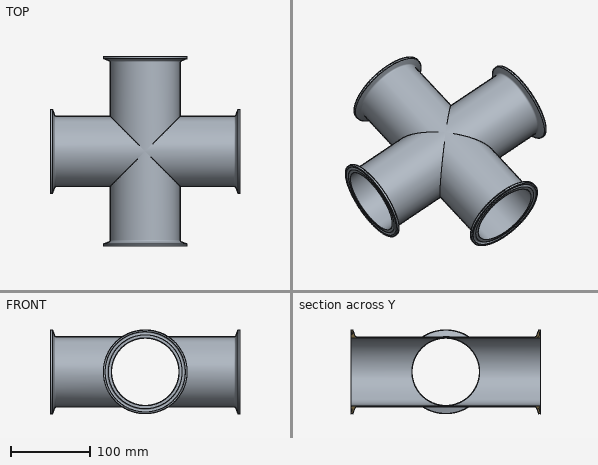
import cadquery as cq
import math

span = 240.0
half_span = span / 2

tube_radius = 89.0 / 2
bore_radius = 85.2 / 2

flange_radius = 106.0 / 2
rim_thickness = 3.0
cone_angle = math.radians(20)
neck_fillet = 2.2

groove_radius = 48.7
groove_mouth_width = 4.0
groove_floor_width = 2.2
groove_wall_depth = 1.0
groove_depth = 1.5

cone_tip_depth = rim_thickness + (flange_radius - tube_radius) * math.tan(cone_angle)
turn_angle = math.pi / 2 - cone_angle
tangent_length = neck_fillet * math.tan(turn_angle / 2)
fillet_center_radius = tube_radius + neck_fillet
fillet_end_depth = cone_tip_depth + tangent_length


def fillet_point(angle):
    """Point on the neck fillet, at an angle measured from its tube end."""
    return (
        fillet_center_radius - neck_fillet * math.cos(angle),
        half_span - fillet_end_depth + neck_fillet * math.sin(angle),
    )


def revolve_about_z(profile):
    return profile.close().revolve(360, (0, 0, 0), (0, 1, 0))


def make_arm():
    """Solid arm along +Z: half of the tube with its clamp ferrule."""
    return revolve_about_z(
        cq.Workplane("XZ")
        .lineTo(tube_radius, 0)
        .lineTo(*fillet_point(0))
        .threePointArc(fillet_point(turn_angle / 2), fillet_point(turn_angle))
        .lineTo(flange_radius, half_span - rim_thickness)
        .lineTo(flange_radius, half_span)
        .lineTo(0, half_span)
    )


def make_groove():
    """Ring cut from the flange face at the end of the +Z arm."""
    wall_bottom = half_span - groove_wall_depth
    return revolve_about_z(
        cq.Workplane("XZ")
        .moveTo(groove_radius - groove_mouth_width / 2, half_span)
        .lineTo(groove_radius - groove_floor_width / 2, wall_bottom)
        .threePointArc(
            (groove_radius, half_span - groove_depth),
            (groove_radius + groove_floor_width / 2, wall_bottom),
        )
        .lineTo(groove_radius + groove_mouth_width / 2, half_span)
    )


def make_run():
    """Solid straight run along Z with a grooved ferrule at each end."""
    arm = make_arm().cut(make_groove())
    return arm.union(arm.mirror("XY"))


def make_bore():
    return cq.Workplane("XY").circle(bore_radius).extrude(half_span, both=True)


def along_x(body):
    return body.rotate((0, 0, 0), (0, 1, 0), 90)


def along_y(body):
    return body.rotate((0, 0, 0), (1, 0, 0), 90)


cross = along_x(make_run()).union(along_y(make_run()))
result = cross.cut(along_x(make_bore())).cut(along_y(make_bore()))